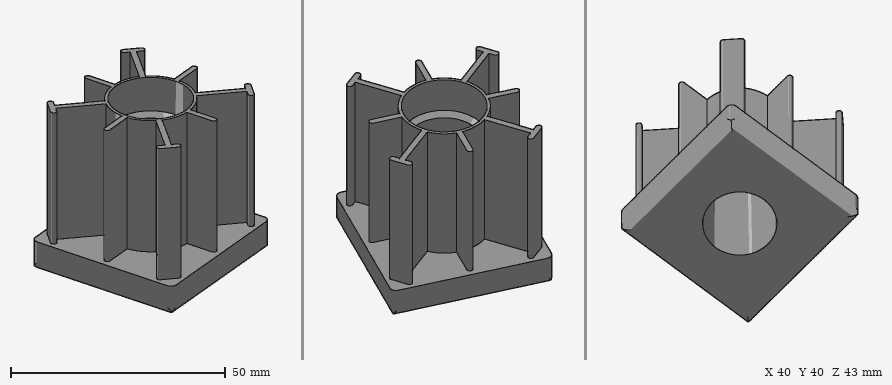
import cadquery as cq

cap_side = 40.0
cap_height = 8.0
cap_corner_radius = 1.55
cap_bottom_radius = 2.5

total_height = 43.0
post_diameter = 21.5
bore_diameter = 20.0
through_diameter = 17.3
bore_depth = 8.95
cone_height = 1.15

rib_thickness = 1.5
straight_rib_reach = 18.57
flange_center_radius = 23.4
flange_length = 5.75

rib_height = total_height - cap_height


def make_cap():
    """Square plate: rounded upright corners, lower rounds that meet in mitres."""

    def bar(lower_edge_axis):
        block = cq.Workplane("XY").box(cap_side, cap_side, cap_height)
        block = block.translate((0, 0, cap_height / 2))
        return block.faces("<Z").edges(lower_edge_axis).fillet(cap_bottom_radius)

    upright = (
        cq.Workplane("XY")
        .rect(cap_side, cap_side)
        .extrude(cap_height)
        .edges("|Z")
        .fillet(cap_corner_radius)
    )
    return bar("|X").intersect(bar("|Y")).intersect(upright)


def make_straight_rib(angle):
    """Radial rib with a round outer edge, starting at the post axis."""
    web_length = straight_rib_reach - rib_thickness / 2
    web = (
        cq.Workplane("XY", origin=(0, 0, cap_height))
        .center(web_length / 2, 0)
        .rect(web_length, rib_thickness)
        .extrude(rib_height)
    )
    tip = (
        cq.Workplane("XY", origin=(web_length, 0, cap_height))
        .circle(rib_thickness / 2)
        .extrude(rib_height)
    )
    return web.union(tip).rotate((0, 0, 0), (0, 0, 1), angle)


def make_flanged_rib(angle):
    """Radial rib ending in a crosswise flange with round ends."""
    web = (
        cq.Workplane("XY", origin=(0, 0, cap_height))
        .center(flange_center_radius / 2, 0)
        .rect(flange_center_radius, rib_thickness)
        .extrude(rib_height)
    )
    flange = (
        cq.Workplane("XY", origin=(flange_center_radius, 0, cap_height))
        .slot2D(flange_length, rib_thickness, 90)
        .extrude(rib_height)
    )
    return web.union(flange).rotate((0, 0, 0), (0, 0, 1), angle)


def make_bore():
    """Wide upper bore, a conical step and a narrower hole through the cap."""
    bore_radius = bore_diameter / 2
    through_radius = through_diameter / 2
    cone_top = total_height - bore_depth
    return (
        cq.Workplane("XZ")
        .moveTo(0, 0)
        .lineTo(through_radius, 0)
        .lineTo(through_radius, cone_top - cone_height)
        .lineTo(bore_radius, cone_top)
        .lineTo(bore_radius, total_height)
        .lineTo(0, total_height)
        .close()
        .revolve(360, (0, 0, 0), (0, 1, 0))
    )


post = (
    cq.Workplane("XY", origin=(0, 0, cap_height))
    .circle(post_diameter / 2)
    .extrude(rib_height)
)

result = make_cap().union(post)
for quarter_turn in (0, 90, 180, 270):
    result = result.union(make_straight_rib(quarter_turn))
    result = result.union(make_flanged_rib(quarter_turn + 45))
result = result.cut(make_bore())